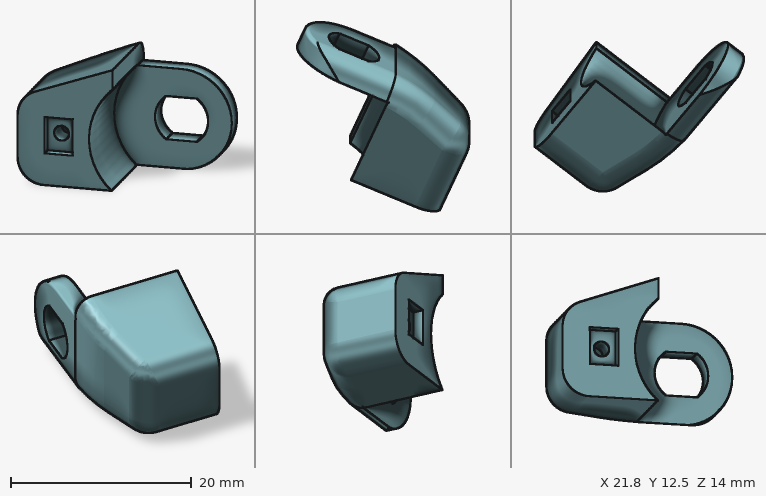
import cadquery as cq
import math

total_length = 21.8
total_depth = 12.5
body_length = 10.94
body_height = 14.0
top_slope = math.radians(20)
back_slope = math.radians(19.2)

corner_radius = 3.0
top_back_radius = 2.0
lug_rim_radius = 0.5

back_arc_start_x = 5.75
back_arc_end_x = 12.18

lug_radius = 5.8
lug_thickness = 2.5
lug_hole_diameter = 6.1
lug_hole_flats = 5.0
clearance_radius = 7.75

pocket_x = 4.73
pocket_width = 3.22
pocket_height = 4.2
pocket_depth = 1.2
pin_hole_diameter = 1.7
pin_hole_depth = 3.0

lug_x = total_length - lug_radius
axis_z = lug_radius
lug_front_y = total_depth - lug_thickness


def front_plane(y):
    """XZ sketch plane at depth y; extruding moves toward +Y."""
    return cq.Workplane(cq.Plane(origin=(0, y, 0), xDir=(1, 0, 0), normal=(0, -1, 0)))


def body_block():
    """Block with a curved back and sloped top, cut off at the body length."""
    arc_radius = (back_arc_end_x - back_arc_start_x) / math.sin(back_slope)
    arc_center_y = total_depth - arc_radius

    def arc_point(x):
        offset = back_arc_end_x - x
        return (x, arc_center_y + math.sqrt(arc_radius**2 - offset**2))

    arc_start = arc_point(back_arc_start_x)
    arc_middle = arc_point((back_arc_start_x + body_length) / 2)
    arc_end = arc_point(body_length)
    left_y = arc_start[1] - back_arc_start_x * math.tan(back_slope)
    plan = (
        cq.Workplane("XY")
        .moveTo(0, 0)
        .lineTo(body_length, 0)
        .lineTo(*arc_end)
        .threePointArc(arc_middle, arc_start)
        .lineTo(0, left_y)
        .close()
        .extrude(body_height)
    )
    left_z = body_height - body_length * math.tan(top_slope)
    side = (
        front_plane(0)
        .polyline([(0, 0), (body_length, 0), (body_length, body_height), (0, left_z)])
        .close()
        .extrude(-total_depth)
    )
    return plan.intersect(side)


def back_edges(low_z, high_z):
    """Selector for back edges centered between two heights, away from the left and right ends."""
    margin = 0.22
    return cq.selectors.BoxSelector(
        (corner_radius, lug_front_y, low_z - margin),
        (body_length - margin, total_depth, high_z + margin),
    )


def round_body(block):
    """Round the left and bottom back edges, then the top back edges with a smaller radius."""
    left_edges = block.faces("<X").edges("not <Y")
    bottom_back = block.edges(back_edges(0, 0))
    rounded = left_edges.add(bottom_back).fillet(corner_radius)
    return rounded.edges(back_edges(body_height / 2, body_height)).fillet(top_back_radius)


def lug():
    """Round-ended plate beyond the body, its bottom back edge rounded like the body."""
    height = 2 * lug_radius
    plate = (
        front_plane(lug_front_y)
        .lineTo(lug_x, 0)
        .threePointArc((total_length, axis_z), (lug_x, height))
        .lineTo(0, height)
        .close()
        .extrude(-lug_thickness)
        .faces(">Y")
        .edges("not <X")
        .fillet(lug_rim_radius)
    )
    envelope = (
        cq.Workplane("XY", origin=(body_length, 0, 0))
        .box(total_length - body_length, total_depth, body_height, centered=False)
        .edges("|X and >Y and <Z")
        .fillet(corner_radius)
    )
    return plate.intersect(envelope)


def lug_hollow():
    """Cylindrical clearance in front of the lug, around its axis."""
    return front_plane(0).center(lug_x, axis_z).circle(clearance_radius).extrude(-lug_front_y)


def lug_hole():
    """Through hole with flats above and below."""
    round_hole = (
        front_plane(0).center(lug_x, axis_z).circle(lug_hole_diameter / 2).extrude(-total_depth)
    )
    flats = (
        front_plane(0).center(lug_x, axis_z).rect(lug_hole_diameter, lug_hole_flats).extrude(-total_depth)
    )
    return round_hole.intersect(flats)


def pocket():
    """Rectangular pocket in the front face with a blind pin hole in its floor."""
    recess = (
        front_plane(0).center(pocket_x, axis_z).rect(pocket_width, pocket_height).extrude(-pocket_depth)
    )
    pin_hole = (
        front_plane(pocket_depth)
        .center(pocket_x, axis_z)
        .circle(pin_hole_diameter / 2)
        .extrude(-pin_hole_depth)
    )
    return recess.union(pin_hole)


body = round_body(body_block()).cut(lug_hollow()).cut(pocket())
result = body.union(lug()).cut(lug_hole())